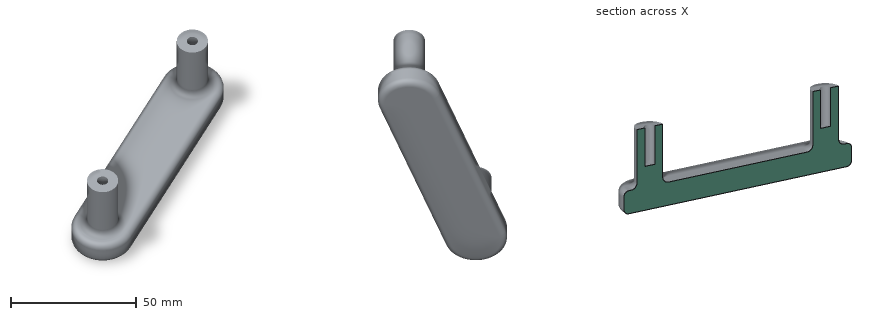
import cadquery as cq

length = 108.5
width = 25.0
bar_height = 10.0
edge_radius = 2.5

total_height = 35.0
post_diameter = 12.5
post_spacing = length - width
root_radius = 2.5

hole_diameter = 4.5
hole_depth = 16.3


def make_bar():
    """Stadium plate with its top and bottom rims rounded."""
    plate = cq.Workplane("XY").slot2D(length, width, 90).extrude(bar_height)
    return plate.faces("|Z").edges().fillet(edge_radius)


def make_post(y):
    """Post revolved about its axis, flaring out into the bar through a concave root fillet."""
    post_radius = post_diameter / 2
    flare_radius = post_radius + root_radius
    root_top = bar_height + root_radius
    arc_offset = root_radius * (1 - 0.5 ** 0.5)
    profile = (
        cq.Workplane("XZ", origin=(0, y, 0))
        .moveTo(0, bar_height / 2)
        .lineTo(flare_radius, bar_height / 2)
        .lineTo(flare_radius, bar_height)
        .threePointArc(
            (post_radius + arc_offset, bar_height + arc_offset),
            (post_radius, root_top),
        )
        .lineTo(post_radius, total_height)
        .lineTo(0, total_height)
        .close()
    )
    return profile.revolve(360, (0, 0, 0), (0, 1, 0))


def make_screw_hole(y):
    """Cylinder to remove from the top of a post."""
    return (
        cq.Workplane("XY", origin=(0, y, total_height))
        .circle(hole_diameter / 2)
        .extrude(-hole_depth)
    )


result = make_bar()
for post_y in (-post_spacing / 2, post_spacing / 2):
    result = result.union(make_post(post_y))
    result = result.cut(make_screw_hole(post_y))